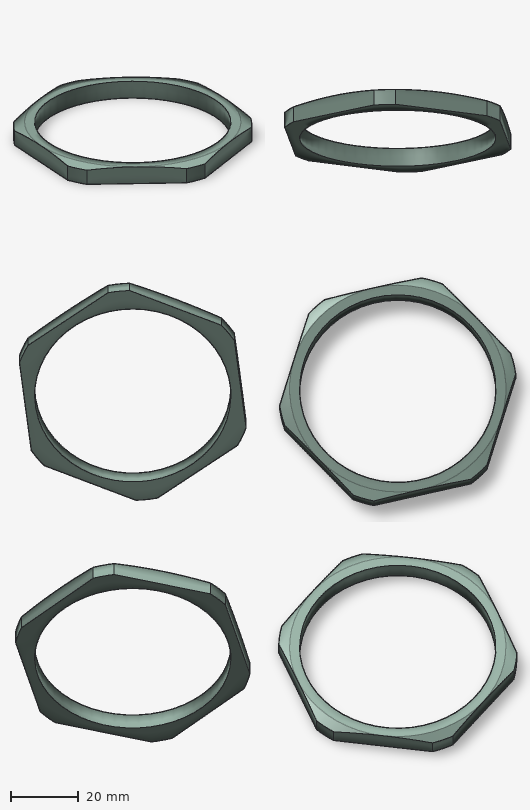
import cadquery as cq
import math

corner_diameter = 70.5
across_flats = 64.0
bore_diameter = 58.0
height = 5.5
chamfer_angle = 15.0

corner_radius = corner_diameter / 2
face_radius = across_flats / 2
hexagon_diameter = across_flats / math.cos(math.pi / 6)
chamfer_drop = (corner_radius - face_radius) * math.tan(math.radians(chamfer_angle))


def hexagon_prism():
    """Hexagon with two corners on the X axis."""
    return cq.Workplane("XY").polygon(6, hexagon_diameter).extrude(height)


def chamfered_disc():
    """Round envelope with a conical chamfer around the top face."""
    profile = [
        (0, 0),
        (corner_radius, 0),
        (corner_radius, height - chamfer_drop),
        (face_radius, height),
        (0, height),
    ]
    return cq.Workplane("XZ").polyline(profile).close().revolve(360, (0, 0), (0, 1))


def bore():
    return cq.Workplane("XY").circle(bore_diameter / 2).extrude(height)


result = hexagon_prism().intersect(chamfered_disc()).cut(bore())